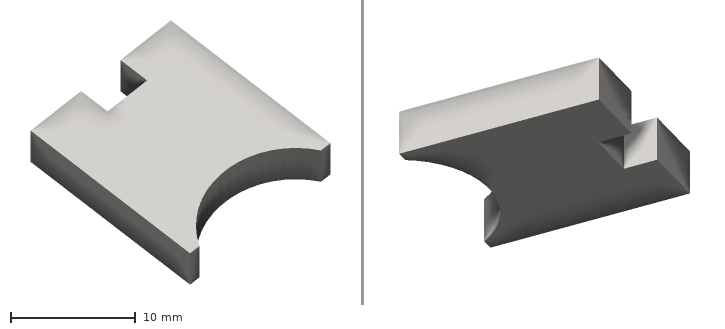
import cadquery as cq

length = 18.0
width = 16.0
thickness = 4.0

notch_depth = 3.0
notch_width = 4.5

scallop_radius = 8.0
scallop_depth = 4.0


def make_plate():
    return cq.Workplane("XY").box(length, width, thickness)


def make_notch():
    """Block open to the -X end, cutting through the full thickness."""
    notch_center_x = -length / 2 + notch_depth / 2
    return cq.Workplane("XY").center(notch_center_x, 0).box(notch_depth, notch_width, thickness)


def make_scallop():
    """Cylinder along Z whose axis lies beyond the +X end of the plate."""
    scallop_center_x = length / 2 - scallop_depth + scallop_radius
    return cq.Workplane("XY").center(scallop_center_x, 0).cylinder(thickness, scallop_radius)


result = make_plate().cut(make_notch()).cut(make_scallop())